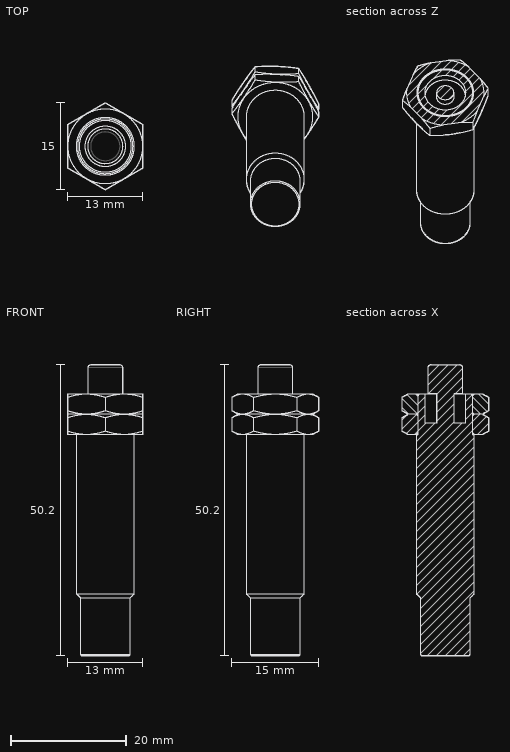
import cadquery as cq
import math

total_height = 50.2
plunger_projection = 5.0
sleeve_height = total_height - plunger_projection

barrel_diameter = 10.0
neck_diameter = 9.5
neck_top_diameter = 8.95
tail_diameter = 8.6
tail_height = 10.0
tail_chamfer = 0.2
neck_top_chamfer = (neck_diameter - neck_top_diameter) / 2
shoulder_chamfer = (barrel_diameter - tail_diameter) / 2

head_diameter = 6.0
head_edge_radius = 0.5
stem_diameter = 3.0
sleeve_bore_diameter = 7.0
sleeve_bore_depth = plunger_projection

nut_count = 2
nut_height = 3.5
nut_across_flats = 13.0
nut_across_corners = nut_across_flats / math.cos(math.radians(30))
nut_face_diameter = 12.9
nut_chamfer_angle = 30.0
nut_countersink = (barrel_diameter - neck_diameter) / 2
neck_base_height = sleeve_height - nut_count * nut_height


def make_cylinder(diameter, bottom, top):
    """Cylinder on the Z axis between two heights."""
    return cq.Workplane("XY", origin=(0, 0, bottom)).circle(diameter / 2).extrude(top - bottom)


def make_sleeve():
    """Stepped, bored sleeve with its integral plunger."""
    tail = make_cylinder(tail_diameter, 0, tail_height)
    tail = tail.faces("<Z").chamfer(tail_chamfer)

    barrel = make_cylinder(barrel_diameter, tail_height, neck_base_height)
    barrel = barrel.faces("<Z").chamfer(shoulder_chamfer)

    neck = make_cylinder(neck_diameter, neck_base_height, sleeve_height)
    neck = neck.faces(">Z").chamfer(neck_top_chamfer)

    bore_floor = sleeve_height - sleeve_bore_depth
    bore = make_cylinder(sleeve_bore_diameter, bore_floor, sleeve_height)
    stem = make_cylinder(stem_diameter, bore_floor, sleeve_height)
    head = make_cylinder(head_diameter, sleeve_height, total_height)
    head = head.faces(">Z").edges().fillet(head_edge_radius)

    return tail.union(barrel).union(neck).cut(bore).union(stem).union(head)


def make_nut(base_height):
    """Hexagon nut with conically chamfered corners and a bore countersunk at both ends."""
    corner_radius = nut_across_corners / 2
    face_radius = nut_face_diameter / 2
    corner_drop = (corner_radius - face_radius) * math.tan(math.radians(nut_chamfer_angle))

    hexagon = (
        cq.Workplane("XY")
        .polygon(6, nut_across_corners)
        .extrude(nut_height)
        .rotate((0, 0, 0), (0, 0, 1), 30)
    )
    corner_envelope = (
        cq.Workplane("XZ")
        .moveTo(0, 0)
        .lineTo(face_radius, 0)
        .lineTo(corner_radius, corner_drop)
        .lineTo(corner_radius, nut_height - corner_drop)
        .lineTo(face_radius, nut_height)
        .lineTo(0, nut_height)
        .close()
        .revolve(360, (0, 0), (0, 1))
    )
    bore = make_cylinder(neck_diameter, 0, nut_height)
    nut = hexagon.intersect(corner_envelope).cut(bore)
    bore_rims = nut.faces("<Z or >Z").edges(cq.selectors.RadiusNthSelector(0))
    nut = bore_rims.chamfer(nut_countersink)
    return nut.translate((0, 0, base_height))


sleeve = make_sleeve()
nuts = [make_nut(sleeve_height - (index + 1) * nut_height) for index in range(nut_count)]

result = cq.Compound.makeCompound([sleeve.val(), *[nut.val() for nut in nuts]])